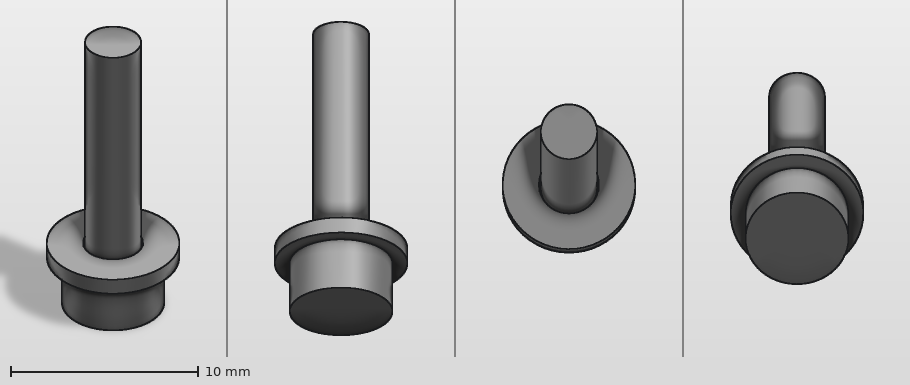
import cadquery as cq

overall_length = 16.7
head_diameter = 5.5
head_height = 2.9
shank_diameter = 3.0

washer_diameter = 7.1
washer_hole_diameter = 3.2
washer_thickness = 0.9


def make_headed_pin():
    """Cylindrical head with a plain round shank rising from it."""
    head = cq.Workplane("XY").circle(head_diameter / 2).extrude(head_height)
    shank_length = overall_length - head_height
    return head.faces(">Z").workplane().circle(shank_diameter / 2).extrude(shank_length)


def make_washer():
    """Flat ring lying on top of the head."""
    ring = cq.Workplane("XY").workplane(offset=head_height)
    return ring.circle(washer_diameter / 2).circle(washer_hole_diameter / 2).extrude(washer_thickness)


headed_pin = make_headed_pin()
washer = make_washer()

result = cq.Compound.makeCompound([headed_pin.val(), washer.val()])